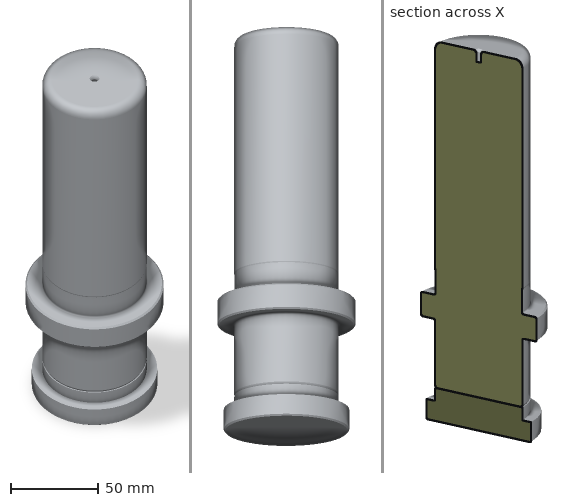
import cadquery as cq

shaft_radius = 30.0
pillar_bottom = 20.2
pillar_top = 232.0
top_rounding = 5.0
bottom_chamfer_width = 0.7
bottom_chamfer_height = 1.5

collar_diameter = 79.0
collar_radius = collar_diameter / 2
collar_bottom = 62.2
collar_thickness = 15.0
collar_top = collar_bottom + collar_thickness
collar_chamfer = 1.0
root_fillet = 1.0

relief_depth = 0.2
relief_top = 92.0
relief_runout = 0.7
relief_radius = shaft_radius - relief_depth

centre_hole_radius = 1.5
centre_hole_depth = 7.0
countersink_radius = 2.8
countersink_depth = 1.6

cap_flange_radius = 36.0
cap_flange_thickness = 12.5
cap_neck_radius = shaft_radius
cap_chamfer = 1.0


def revolve_profile(profile):
    """Turn a closed (radius, height) outline about the Z axis."""
    return profile.close().revolve(360, (0, 0, 0), (0, 1, 0))


def make_pillar_blank():
    """Shaft with its collar, relief and end treatments, before the centre hole."""
    profile = (
        cq.Workplane("XZ")
        .moveTo(0, pillar_bottom)
        .lineTo(shaft_radius - bottom_chamfer_width, pillar_bottom)
        .lineTo(shaft_radius, pillar_bottom + bottom_chamfer_height)
        .lineTo(shaft_radius, collar_bottom - root_fillet)
        .radiusArc((shaft_radius + root_fillet, collar_bottom), root_fillet)
        .lineTo(collar_radius - collar_chamfer, collar_bottom)
        .lineTo(collar_radius, collar_bottom + collar_chamfer)
        .lineTo(collar_radius, collar_top - collar_chamfer)
        .lineTo(collar_radius - collar_chamfer, collar_top)
        .lineTo(relief_radius + root_fillet, collar_top)
        .radiusArc((relief_radius, collar_top + root_fillet), root_fillet)
        .lineTo(relief_radius, relief_top)
        .lineTo(shaft_radius, relief_top + relief_runout)
        .lineTo(shaft_radius, pillar_top - top_rounding)
        .radiusArc((shaft_radius - top_rounding, pillar_top), -top_rounding)
        .lineTo(0, pillar_top)
    )
    return revolve_profile(profile)


def make_centre_hole():
    """Blind hole with a conical mouth, as a cutting tool."""
    hole_bottom = pillar_top - centre_hole_depth
    profile = (
        cq.Workplane("XZ")
        .moveTo(0, hole_bottom)
        .lineTo(centre_hole_radius, hole_bottom)
        .lineTo(centre_hole_radius, pillar_top - countersink_depth)
        .lineTo(countersink_radius, pillar_top)
        .lineTo(0, pillar_top)
    )
    return revolve_profile(profile)


def make_end_cap():
    """Flange with a chamfered lower rim and a neck that meets the pillar."""
    profile = (
        cq.Workplane("XZ")
        .moveTo(0, 0)
        .lineTo(cap_flange_radius - cap_chamfer, 0)
        .lineTo(cap_flange_radius, cap_chamfer)
        .lineTo(cap_flange_radius, cap_flange_thickness)
        .lineTo(cap_neck_radius, cap_flange_thickness)
        .lineTo(cap_neck_radius, pillar_bottom)
        .lineTo(0, pillar_bottom)
    )
    return revolve_profile(profile)


pillar = make_pillar_blank().cut(make_centre_hole())
end_cap = make_end_cap()

result = cq.Compound.makeCompound([pillar.val(), end_cap.val()])